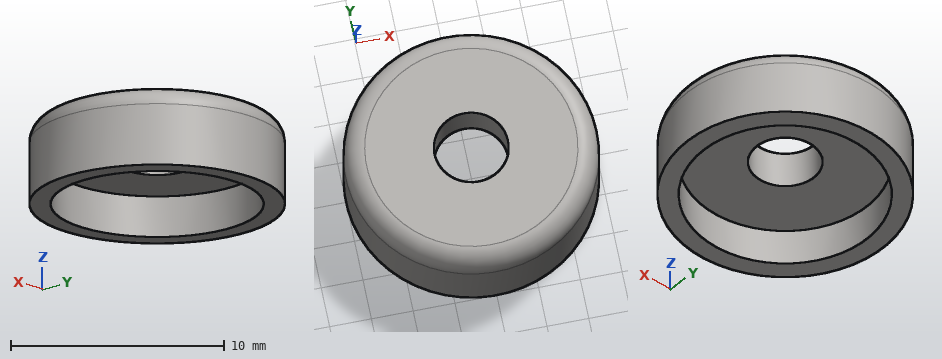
import cadquery as cq

outer_diameter = 12.0
height = outer_diameter / 3
bore_diameter = 3.5
top_thickness = height / 2
top_edge_radius = height / 4
wall_thickness = top_edge_radius

recess_diameter = outer_diameter - 2 * wall_thickness
recess_depth = height - top_thickness

body = cq.Workplane("XY").circle(outer_diameter / 2).extrude(height)

rounded_body = body.faces(">Z").edges().fillet(top_edge_radius)

bore = cq.Workplane("XY").circle(bore_diameter / 2).extrude(height)
recess = cq.Workplane("XY").circle(recess_diameter / 2).extrude(recess_depth)

result = rounded_body.cut(bore).cut(recess)